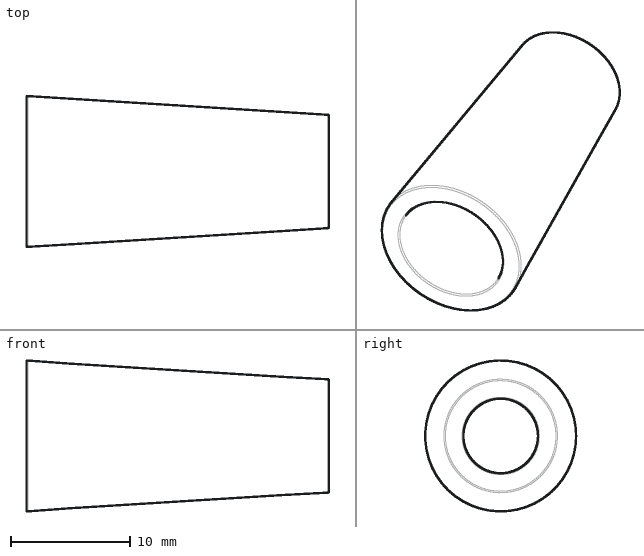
import cadquery as cq

length = 25.4
wide_diameter = 12.7
narrow_diameter = 9.52
wall = 1.65
edge_round = 0.13

wide_radius = wide_diameter / 2
narrow_radius = narrow_diameter / 2


def tapered_tube():
    """Revolve the slanted wall section about the X axis."""
    section = (
        cq.Workplane("XY")
        .moveTo(0, wide_radius - wall)
        .lineTo(0, wide_radius)
        .lineTo(length, narrow_radius)
        .lineTo(length, narrow_radius - wall)
        .close()
    )
    return section.revolve(360, (0, 0, 0), (1, 0, 0))


result = tapered_tube().faces("<X or >X").edges().fillet(edge_round)